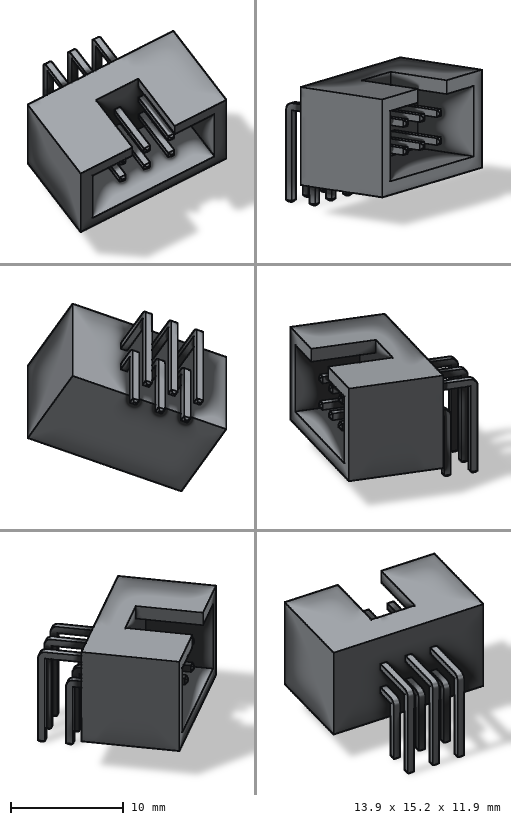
import cadquery as cq


BODY_DEPTH = 8.9
BODY_WIDTH = 15.24
BODY_HEIGHT = 8.9
WALL = 1.25
SOCKET_DEPTH = 6.1
KEY_WIDTH = 4.4

PITCH = 2.54
ROWS = 2
PINS_PER_ROW = 3
PIN_SIZE = 0.64
BEND_RADIUS = PIN_SIZE
TIP_CHAMFER = 0.2
MATING_TIP_RECESS = 0.9
TAIL_LENGTH_BELOW_BODY = 3.0
OUTER_TAIL_OVERHANG = 4.98

SOCKET_FLOOR_X = BODY_DEPTH - SOCKET_DEPTH
MATING_TIP_X = BODY_DEPTH - MATING_TIP_RECESS
UPPER_ROW_Z = BODY_HEIGHT / 2 + (ROWS - 1) / 2 * PITCH
UPPER_TAIL_X = PIN_SIZE / 2 - OUTER_TAIL_OVERHANG


def make_housing():
    """Rectangular shroud with a socket at the front and a keying notch in the top wall."""
    body = cq.Workplane("XY").box(
        BODY_DEPTH, BODY_WIDTH, BODY_HEIGHT, centered=(False, True, False)
    )
    socket = (
        cq.Workplane("XY")
        .box(
            SOCKET_DEPTH,
            BODY_WIDTH - 2 * WALL,
            BODY_HEIGHT - 2 * WALL,
            centered=(False, True, False),
        )
        .translate((SOCKET_FLOOR_X, 0, WALL))
    )
    key_notch = (
        cq.Workplane("XY")
        .box(SOCKET_DEPTH, KEY_WIDTH, WALL, centered=(False, True, False))
        .translate((SOCKET_FLOOR_X, 0, BODY_HEIGHT - WALL))
    )
    return body.cut(socket).cut(key_notch)


def make_pin(tail_x, row_z, y):
    """Square pin bent once, with a sharp inner corner, a round outer one and bevelled tips."""
    half = PIN_SIZE / 2
    leg = cq.Workplane("XY").box(
        MATING_TIP_X - tail_x + half, PIN_SIZE, PIN_SIZE, centered=(False, True, True)
    )
    leg = leg.translate((tail_x - half, y, row_z))
    tail = cq.Workplane("XY").box(
        PIN_SIZE, PIN_SIZE, row_z + half + TAIL_LENGTH_BELOW_BODY, centered=(True, True, False)
    )
    tail = tail.translate((tail_x, y, -TAIL_LENGTH_BELOW_BODY))
    pin = leg.union(tail)
    outer_corner = cq.selectors.NearestToPointSelector((tail_x - half, y, row_z + half))
    pin = pin.edges(outer_corner).fillet(BEND_RADIUS)
    pin = pin.faces(">X").edges().chamfer(TIP_CHAMFER)
    return pin.faces("<Z").edges().chamfer(TIP_CHAMFER)


def make_header():
    """Housing joined with all pins; each lower row has its tails one pitch closer in."""
    header = make_housing()
    for row in range(ROWS):
        tail_x = UPPER_TAIL_X + row * PITCH
        row_z = UPPER_ROW_Z - row * PITCH
        for column in range(PINS_PER_ROW):
            y = (column - (PINS_PER_ROW - 1) / 2) * PITCH
            header = header.union(make_pin(tail_x, row_z, y))
    return header


result = make_header()